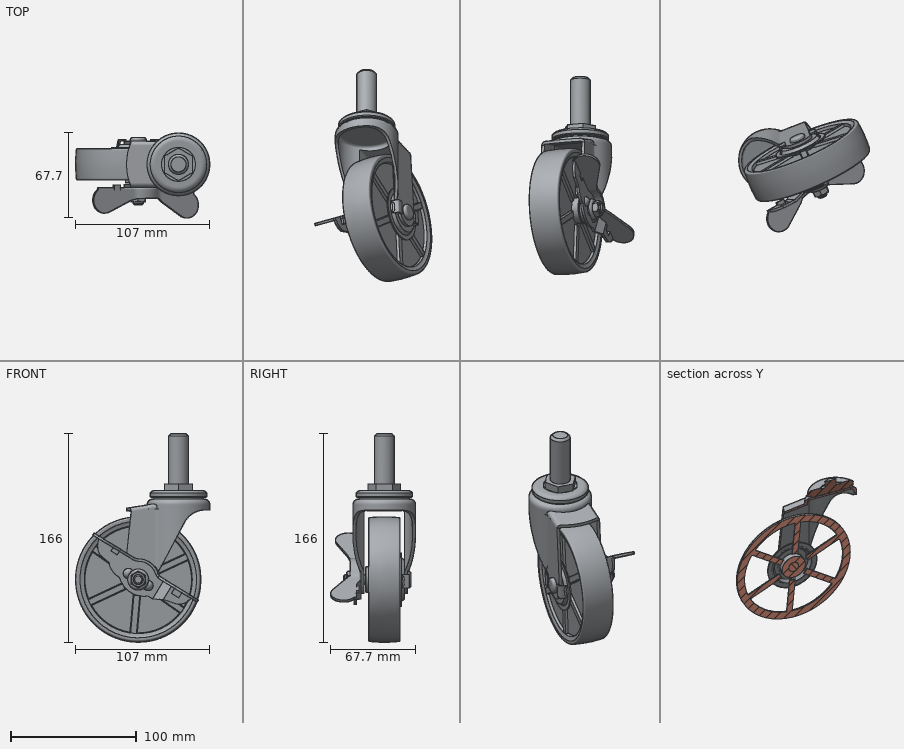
import cadquery as cq
import math


AXLE_X = -32.0
AXLE_RADIUS = 4.0
SHEET = 2.4
LEG_INNER = 16.0
LEG_OUTER = LEG_INNER + SHEET

WHEEL_RADIUS = 50.0
WHEEL_HALF_WIDTH = 12.5
CROWN = 0.6
TREAD_ROUND = 1.2
TIRE_FACE_RADIUS = 46.4
RIM_FACE_RADIUS = 45.0
RIM_STEP = 0.6
RIM_INNER_RADIUS = 43.0
WEB_HALF_THICKNESS = 9.0
HUB_RADIUS = 10.3
HUB_HALF_LENGTH = 15.0
HUB_CHAMFER = 0.6
RIB_COUNT = 6
RIB_START_ANGLE = 25.0
RIB_INNER_RADIUS = 12.0
RIB_WIDTH = 6.0
RIB_TAPER = 20.0
RIB_RECESS = 1.5

SWIVEL_RADIUS = 25.0
SWIVEL_TOP = 64.0
SWIVEL_ROUND = 4.5
SKIRT_BOTTOM = 55.2
LEG_END_RADIUS = 11.2
ARM_TOP_AT_AXIS = 63.4
ARM_SLOPE = 9.1
ARM_TIP_X = -41.3
ARM_LIP_BOTTOM = 54.2
ARM_CORNER_X = -37.7
ARM_EDGE_ROUND = 3.5
LEG_BLEND_RADIUS = 4.5
BLEND_FRONT_X = -24.0
SEAT_RADIUS = 17.0
REAR_EDGE_ANGLE = 62.0
REAR_ARC_RADIUS = 18.0

STEM_RADIUS = 8.0
STEM_TOP = 116.0
STEM_CHAMFER = 2.0
HEX_FLATS = 22.5
HEX_TOP = 76.0
CAP_RADIUS = 22.5
CAP_TOP = 71.0
CAP_BOTTOM = 65.2
CAP_FLAT_RADIUS = 18.4
CAP_SHOULDER_Z = 68.8
CAP_EDGE_CHAMFER = 0.8
CAP_RECESS_RADIUS = 13.5
CAP_RECESS_DEPTH = 1.0
RACE_RADIUS = 20.0

HEAD_RADIUS = 6.4
HEAD_HEIGHT = 3.0
HEAD_ROUND = 2.0
WASHER_RADIUS = 8.4
WASHER_START = 22.8
WASHER_END = 25.2
WASHER_ROUND = 2.2
COLLAR_RADIUS = 5.0
NUT_FLATS = 11.5
NUT_END = 30.0
BOLT_END = 32.3
BOLT_CHAMFER = 1.1

DISC_RADIUS = 21.3
DISC_SHEET = 1.0
DISH_RADIUS = 17.6
DISH_TOP_RADIUS = 15.6
CLIP_OUTER = 16.8
CLIP_INNER = 10.4
CLIP_SHEET = 1.2
CLIP_TOP = 19.9
CLIP_WIDTH = 10.9
CLIP_ANGLE = -5.0

W_MAX = 40.0
LEVER_ANGLE = 31.5
LEVER_SHEET = 2.0
HUMP_RADIUS = 16.5
HUMP_BLEND = 8.0
LEFT_FLANGE_V = 13.2
RIGHT_FLANGE_V = 11.1
LEVER_JOG = 3.8
JOG_START = 17.7
JOG_END = 25.3
WING_RADIUS = 10.4
WING_CENTER_U = 39.0
WING_CENTER_W = 10.1
WING_CORNER_U = 45.0
WING_BACK_ANGLE = 180 - math.degrees(math.asin((WING_CORNER_U - WING_CENTER_U) / WING_RADIUS))
LEFT_WING_SLOPE = 25.0
RIGHT_WING_SLOPE = 32.6
HUMP_HEIGHT = 8.7
DIMPLE_RADIUS = 4.1
DIMPLE_HEIGHT = 2.9
DIMPLE_SPACING = 9.2
LEFT_WINDOW_U = -30.4
LEFT_WINDOW_LENGTH = 5.9
LEFT_WINDOW_HEIGHT = 3.2
RIGHT_WINDOW_U = 28.3
RIGHT_WINDOW_LENGTH = 6.8
RIGHT_WINDOW_HEIGHT = 4.7
TAB_LENGTH = 2.1
BEND_RADIUS = 1.9


def along_axle(shape):
    """Turn a shape built about Z (local z pointing to -Y) onto the axle; local x, y become X, Z."""
    return shape.rotate((0, 0, 0), (1, 0, 0), 90).translate((AXLE_X, 0, 0))


def turned(points):
    """Revolve a closed (radius, height) outline about Z."""
    return cq.Workplane("XZ").polyline(points).close().revolve(360, (0, 0, 0), (0, 1, 0))


def cylinder(radius, bottom, top):
    return cq.Workplane("XY").workplane(offset=bottom).circle(radius).extrude(top - bottom)


def wheel_ribs():
    height = WHEEL_HALF_WIDTH - RIB_RECESS - WEB_HALF_THICKNESS
    length = TIRE_FACE_RADIUS - RIB_INNER_RADIUS
    middle = (TIRE_FACE_RADIUS + RIB_INNER_RADIUS) / 2
    rib = (
        cq.Workplane("XY").workplane(offset=WEB_HALF_THICKNESS).center(middle, 0)
        .rect(length, RIB_WIDTH).extrude(height, taper=RIB_TAPER)
    )
    rib = rib.union(rib.mirror("XY"))
    ribs = cq.Workplane("XY")
    for index in range(RIB_COUNT):
        angle = RIB_START_ANGLE + index * 360 / RIB_COUNT
        ribs = ribs.union(rib.rotate((0, 0, 0), (0, 0, 1), angle))
    return ribs


def make_wheel():
    side = WHEEL_HALF_WIDTH
    shoulder = WHEEL_RADIUS - CROWN
    tread_edge = side - TREAD_ROUND
    body = (
        cq.Workplane("XZ")
        .moveTo(0, -side)
        .lineTo(shoulder - TREAD_ROUND, -side)
        .radiusArc((shoulder, -tread_edge), -TREAD_ROUND)
        .threePointArc((WHEEL_RADIUS, 0), (shoulder, tread_edge))
        .radiusArc((shoulder - TREAD_ROUND, side), -TREAD_ROUND)
        .lineTo(0, side)
        .close()
        .revolve(360, (0, 0, 0), (0, 1, 0))
    )
    pocket = turned([
        (0, WEB_HALF_THICKNESS),
        (RIM_INNER_RADIUS - RIM_STEP, WEB_HALF_THICKNESS),
        (RIM_INNER_RADIUS, side - 2 * RIM_STEP),
        (RIM_FACE_RADIUS, side - RIM_STEP),
        (TIRE_FACE_RADIUS, side),
        (0, side),
    ])
    hub = cylinder(HUB_RADIUS, -HUB_HALF_LENGTH, HUB_HALF_LENGTH).edges().chamfer(HUB_CHAMFER)
    wheel = body.cut(pocket).cut(pocket.mirror("XY")).union(wheel_ribs()).union(hub)
    return along_axle(wheel.cut(cylinder(AXLE_RADIUS, -HUB_HALF_LENGTH, HUB_HALF_LENGTH)))


def arm_top(x):
    return ARM_TOP_AT_AXIS + x * math.tan(math.radians(ARM_SLOPE))


def tangent_point(x, z, turn):
    """Touching point on the leg end circle of the line through (x, z); turn picks the side."""
    distance = math.hypot(x - AXLE_X, z)
    angle = math.atan2(z, x - AXLE_X) + turn * math.acos(LEG_END_RADIUS / distance)
    return (AXLE_X + LEG_END_RADIUS * math.cos(angle), LEG_END_RADIUS * math.sin(angle))


def rear_edge():
    """Leg-end touching point, arc start, arc middle and arc end of the rear leg edge."""
    slope = math.radians(REAR_EDGE_ANGLE)
    normal = (math.sin(slope), -math.cos(slope))
    touch = (AXLE_X + LEG_END_RADIUS * normal[0], LEG_END_RADIUS * normal[1])
    center_z = SKIRT_BOTTOM - REAR_ARC_RADIUS
    reach = LEG_END_RADIUS + REAR_ARC_RADIUS
    center_x = AXLE_X + (reach - center_z * normal[1]) / normal[0]
    start = (center_x - REAR_ARC_RADIUS * normal[0], center_z - REAR_ARC_RADIUS * normal[1])
    middle_angle = (math.pi / 2 + math.atan2(-normal[1], -normal[0])) / 2
    middle = (
        center_x + REAR_ARC_RADIUS * math.cos(middle_angle),
        center_z + REAR_ARC_RADIUS * math.sin(middle_angle),
    )
    return touch, start, middle, (center_x, SKIRT_BOTTOM)


def fork_side_outline():
    touch, arc_start, arc_middle, arc_end = rear_edge()
    front_touch = tangent_point(ARM_CORNER_X, ARM_LIP_BOTTOM, 1)
    return (
        cq.Workplane("XZ", origin=(0, SWIVEL_RADIUS, 0))
        .moveTo(ARM_TIP_X, SWIVEL_TOP)
        .lineTo(ARM_TIP_X, ARM_LIP_BOTTOM)
        .lineTo(ARM_CORNER_X, ARM_LIP_BOTTOM)
        .lineTo(*front_touch)
        .threePointArc((AXLE_X, -LEG_END_RADIUS), touch)
        .lineTo(*arc_start)
        .threePointArc(arc_middle, arc_end)
        .lineTo(SWIVEL_RADIUS, SKIRT_BOTTOM)
        .lineTo(SWIVEL_RADIUS, SWIVEL_TOP)
        .close()
        .extrude(2 * SWIVEL_RADIUS)
    )


def arm_block(half_width, drop, edge_round, front, back):
    """Long block under the sloping arm plane, lowered by drop, with rounded top edges."""
    bottom = -2 * LEG_END_RADIUS
    return (
        cq.Workplane("XZ", origin=(0, half_width, 0))
        .polyline([
            (front, bottom),
            (front, arm_top(front) - drop),
            (back, arm_top(back) - drop),
            (back, bottom),
        ])
        .close()
        .extrude(2 * half_width)
        .edges(">Y or <Y").edges("not(#X or #Z)").edges(">Z")
        .fillet(edge_round)
    )


def leg_blends(bottom):
    """Swivel skirt and flat legs in plan, with the concave corners between them rounded."""
    blend_x = -math.sqrt(SWIVEL_RADIUS**2 - LEG_OUTER**2)
    top = arm_top(BLEND_FRONT_X) - ARM_EDGE_ROUND
    skirt = cylinder(SWIVEL_RADIUS, bottom, top)
    legs = cq.Workplane("XY").box(
        -ARM_CORNER_X, 2 * LEG_OUTER, top - bottom, centered=(False, True, False)
    ).translate((ARM_CORNER_X, 0, bottom))
    plan = skirt.union(legs)
    for side in (-1, 1):
        corner = cq.selectors.NearestToPointSelector((blend_x, side * LEG_OUTER, (top + bottom) / 2))
        plan = plan.edges("|Z").edges(corner).fillet(LEG_BLEND_RADIUS)
    return plan.intersect(cq.Workplane("XY").box(
        SWIVEL_RADIUS - BLEND_FRONT_X, 2 * SWIVEL_RADIUS, top - bottom, centered=(False, True, False)
    ).translate((BLEND_FRONT_X, 0, bottom)))


def make_fork():
    bottom = -2 * LEG_END_RADIUS
    front = 2 * ARM_TIP_X
    arm = arm_block(LEG_OUTER, 0, ARM_EDGE_ROUND, front, 0)
    cavity = arm_block(LEG_INNER, SHEET, ARM_EDGE_ROUND - SHEET, front, 0)
    swivel = cylinder(SWIVEL_RADIUS, bottom, SWIVEL_TOP).faces(">Z").edges().fillet(SWIVEL_ROUND)
    cup = (
        cylinder(SWIVEL_RADIUS - SHEET, bottom, SWIVEL_TOP - SHEET)
        .faces(">Z").edges().fillet(SWIVEL_ROUND - SHEET)
    )
    arm_plan = (
        cq.Workplane("XY").workplane(offset=bottom)
        .moveTo(ARM_CORNER_X, -LEG_OUTER)
        .threePointArc((ARM_TIP_X, 0), (ARM_CORNER_X, LEG_OUTER))
        .lineTo(0, LEG_OUTER)
        .lineTo(0, -LEG_OUTER)
        .close()
        .extrude(SWIVEL_TOP - bottom)
    )
    legs_plan = cq.Workplane("XY").box(
        -front, 2 * LEG_OUTER, ARM_LIP_BOTTOM - bottom, centered=(False, True, False)
    ).translate((front, 0, bottom))
    arm = arm.intersect(arm_plan.union(legs_plan))
    outer = swivel.union(arm).union(leg_blends(bottom))
    fork = outer.cut(cup).cut(cavity).intersect(fork_side_outline())
    for seat in (
        cylinder(SEAT_RADIUS, LEG_OUTER, SWIVEL_RADIUS),
        cylinder(SEAT_RADIUS, -SWIVEL_RADIUS, -LEG_OUTER),
    ):
        fork = fork.cut(along_axle(seat))
    return fork.cut(along_axle(cylinder(AXLE_RADIUS, -LEG_OUTER, LEG_OUTER)))


def make_stem():
    cap = (
        cq.Workplane("XZ")
        .moveTo(0, CAP_TOP)
        .lineTo(CAP_FLAT_RADIUS, CAP_TOP)
        .tangentArcPoint((CAP_RADIUS, CAP_SHOULDER_Z), relative=False)
        .lineTo(CAP_RADIUS, CAP_BOTTOM + CAP_EDGE_CHAMFER)
        .lineTo(CAP_RADIUS - CAP_EDGE_CHAMFER, CAP_BOTTOM)
        .lineTo(RACE_RADIUS, CAP_BOTTOM)
        .lineTo(RACE_RADIUS, SWIVEL_TOP)
        .lineTo(0, SWIVEL_TOP)
        .close()
        .revolve(360, (0, 0, 0), (0, 1, 0))
    )
    recess_floor = CAP_TOP - CAP_RECESS_DEPTH
    cap = cap.cut(cylinder(CAP_RECESS_RADIUS, recess_floor, CAP_TOP))
    hexagon = (
        cq.Workplane("XY").workplane(offset=recess_floor)
        .polygon(6, HEX_FLATS, circumscribed=True).extrude(HEX_TOP - recess_floor)
    )
    stem = cylinder(STEM_RADIUS, HEX_TOP, STEM_TOP).faces(">Z").edges().chamfer(STEM_CHAMFER)
    return cap.union(hexagon).union(stem)


def make_axle():
    head = (
        cylinder(HEAD_RADIUS, -LEG_OUTER - HEAD_HEIGHT, -LEG_OUTER)
        .faces("<Z").edges().fillet(HEAD_ROUND)
    )
    shaft = cylinder(AXLE_RADIUS, -LEG_OUTER, BOLT_END).faces(">Z").edges().chamfer(BOLT_CHAMFER)
    collar = cylinder(COLLAR_RADIUS, LEG_OUTER + LEVER_SHEET, WASHER_START)
    washer = cylinder(WASHER_RADIUS, WASHER_START, WASHER_END).faces(">Z").edges().fillet(WASHER_ROUND)
    nut = (
        cq.Workplane("XY").workplane(offset=WASHER_END)
        .polygon(6, NUT_FLATS, circumscribed=True).extrude(NUT_END - WASHER_END)
    )
    nut_round = (
        cylinder(NUT_FLATS / math.sqrt(3), WASHER_END, NUT_END).faces(">Z").edges().chamfer(BOLT_CHAMFER)
    )
    return along_axle(
        head.union(shaft).union(collar).union(washer).union(nut.intersect(nut_round))
    )


def make_brake_disc():
    """Dished sheet between wheel and far leg, with two clips hooked over the leg edges."""
    base = WHEEL_HALF_WIDTH
    disc = turned([
        (AXLE_RADIUS, LEG_INNER),
        (DISH_TOP_RADIUS, LEG_INNER),
        (DISH_RADIUS, base + DISC_SHEET),
        (DISC_RADIUS, base + DISC_SHEET),
        (DISC_RADIUS, base),
        (DISH_RADIUS - DISC_SHEET, base),
        (DISH_TOP_RADIUS - DISC_SHEET, LEG_INNER - DISC_SHEET),
        (AXLE_RADIUS, LEG_INNER - DISC_SHEET),
    ])
    clip = (
        cq.Workplane("XZ", origin=(0, CLIP_WIDTH / 2, 0))
        .polyline([
            (CLIP_OUTER, base + DISC_SHEET),
            (CLIP_OUTER - CLIP_SHEET, CLIP_TOP),
            (CLIP_INNER, CLIP_TOP),
            (CLIP_INNER, CLIP_TOP - CLIP_SHEET),
            (CLIP_OUTER - 2 * CLIP_SHEET, CLIP_TOP - CLIP_SHEET),
            (CLIP_OUTER - CLIP_SHEET, LEG_INNER - DISC_SHEET / 2),
        ])
        .close()
        .extrude(CLIP_WIDTH)
        .edges(cq.selectors.NearestToPointSelector((CLIP_OUTER - CLIP_SHEET, 0, CLIP_TOP)))
        .fillet(CLIP_SHEET)
    )
    for turn in (0, 180):
        disc = disc.union(clip.rotate((0, 0, 0), (0, 0, 1), turn))
    disc = disc.rotate((0, 0, 0), (1, 0, 0), 180).rotate((0, 0, 0), (0, 0, 1), CLIP_ANGLE)
    return along_axle(disc)


def lever_plate_outline():
    left = LEFT_FLANGE_V - LEVER_SHEET / 2
    right = RIGHT_FLANGE_V - LEVER_SHEET / 2
    return (
        cq.Workplane("XY")
        .moveTo(-43.5, left)
        .threePointArc((-41.0, 5.0), (-36.0, 0.8))
        .lineTo(-27.0, -0.7)
        .threePointArc((-20.5, -5.2), (-13.5, -6.4))
        .threePointArc((1.5, -11.9), (13.5, -7.1))
        .lineTo(JOG_START, -7.2)
        .lineTo(26.5, -2.8)
        .lineTo(36.6, -0.6)
        .threePointArc((41.3, 3.4), (43.8, right))
        .lineTo(15.0, right)
        .threePointArc((0, HUMP_RADIUS - LEVER_SHEET / 2), (-15.0, left))
        .close()
        .extrude(W_MAX)
    )


def lever_block(offset):
    """Block bounded above by the flange surface, moved inward by offset: two straights and a hump."""
    reach = 2 * WING_CENTER_U
    left = LEFT_FLANGE_V - offset
    right = RIGHT_FLANGE_V - offset
    block = cylinder(HUMP_RADIUS - offset, 0, W_MAX)
    for side, height in ((-1, left), (1, right)):
        half = cq.Workplane("XY").box(reach, reach + height, W_MAX, centered=(True, False, False))
        block = block.union(half.translate((side * reach / 2, -reach, 0)))
    for side, height in ((-1, left), (1, right)):
        foot = side * math.sqrt((HUMP_RADIUS - offset) ** 2 - height**2)
        corner = cq.selectors.NearestToPointSelector((foot, height, W_MAX / 2))
        block = block.edges("|Z").edges(corner).fillet(HUMP_BLEND + offset)
    return block


def make_flanged_sheet():
    """Plate and upper flange with a rounded bend between them."""
    outer = lever_block(0)
    bend = cq.selectors.NearestToPointSelector((0, HUMP_RADIUS, 0))
    outer = outer.edges(bend).fillet(BEND_RADIUS)
    flange = outer.cut(lever_block(LEVER_SHEET)).intersect(wing_outline())
    plate = lever_plate_outline().intersect(jogged_sheet()).intersect(outer)
    return flange.union(plate)


def wing_arc(side, angle):
    """Point on a round wing end, angle measured from the outward w direction toward the wing tip."""
    center_w = WING_CENTER_W + (LEVER_JOG if side > 0 else 0)
    return (
        side * (WING_CENTER_U + WING_RADIUS * math.sin(math.radians(angle))),
        center_w + WING_RADIUS * math.cos(math.radians(angle)),
    )


def wing_outline():
    """Flange outline as seen along v: two round wings, the right one set outward by the jog."""
    return (
        cq.Workplane("XZ", origin=(0, W_MAX, 0))
        .moveTo(-WING_CORNER_U, 0)
        .lineTo(*wing_arc(-1, WING_BACK_ANGLE))
        .threePointArc(wing_arc(-1, 90), wing_arc(-1, -LEFT_WING_SLOPE))
        .lineTo(-14.9, 10.5)
        .lineTo(-8.0, HUMP_HEIGHT)
        .lineTo(12.5, HUMP_HEIGHT)
        .lineTo(15.7, 11.6)
        .lineTo(*wing_arc(1, -RIGHT_WING_SLOPE))
        .threePointArc(wing_arc(1, 90), wing_arc(1, WING_BACK_ANGLE))
        .lineTo(WING_CORNER_U, LEVER_JOG)
        .lineTo(JOG_END, LEVER_JOG)
        .lineTo(JOG_START, 0)
        .close()
        .extrude(2 * W_MAX)
    )


def jogged_sheet():
    t = LEVER_SHEET
    end = 2 * WING_CENTER_U
    return (
        cq.Workplane("XZ", origin=(0, W_MAX, 0))
        .polyline([
            (-end, 0), (JOG_START, 0), (JOG_END, LEVER_JOG), (end, LEVER_JOG),
            (end, LEVER_JOG + t), (JOG_END, LEVER_JOG + t), (JOG_START, t), (-end, t),
        ])
        .close()
        .extrude(2 * W_MAX)
    )


def dimple(u):
    """Spherical cap raised from the plate, its edge on the plate surface."""
    ball_radius = (DIMPLE_RADIUS**2 + DIMPLE_HEIGHT**2) / (2 * DIMPLE_HEIGHT)
    ball = cq.Workplane("XY").sphere(ball_radius).translate(
        (u, 0, LEVER_SHEET + DIMPLE_HEIGHT - ball_radius)
    )
    above = cylinder(DIMPLE_RADIUS, LEVER_SHEET / 2, W_MAX).translate((u, 0, 0))
    return ball.intersect(above)


def make_lever():
    lever = make_flanged_sheet()
    for start, length, height, flange_v, base in (
        (LEFT_WINDOW_U, LEFT_WINDOW_LENGTH, LEFT_WINDOW_HEIGHT, LEFT_FLANGE_V, 0),
        (RIGHT_WINDOW_U, RIGHT_WINDOW_LENGTH, RIGHT_WINDOW_HEIGHT, RIGHT_FLANGE_V, LEVER_JOG),
    ):
        window_top = flange_v - LEVER_SHEET
        window = cq.Workplane("XY").box(length, height, LEVER_SHEET, centered=False)
        lever = lever.cut(window.translate((start, window_top - height, base)))
        tab = cq.Workplane("XY").box(length, LEVER_SHEET, TAB_LENGTH + BEND_RADIUS, centered=False)
        lever = lever.union(tab.translate((start, window_top, base - TAB_LENGTH)))
    for side in (-1, 1):
        lever = lever.union(dimple(side * DIMPLE_SPACING))
    washer_seat = cylinder(WASHER_RADIUS, WASHER_START - LEG_OUTER, WASHER_END)
    bore = cylinder(COLLAR_RADIUS, LEVER_SHEET, W_MAX).union(cylinder(AXLE_RADIUS, 0, LEVER_SHEET))
    lever = lever.cut(washer_seat).cut(bore)
    lever = lever.rotate((0, 0, 0), (0, 0, 1), -LEVER_ANGLE)
    return along_axle(lever.translate((0, 0, LEG_OUTER)))


wheel = make_wheel()
fork = make_fork()
stem = make_stem()
axle = make_axle()
brake_disc = make_brake_disc()
lever = make_lever()

result = cq.Compound.makeCompound([
    wheel.val(),
    fork.val(),
    stem.val(),
    axle.val(),
    brake_disc.val(),
    lever.val(),
])